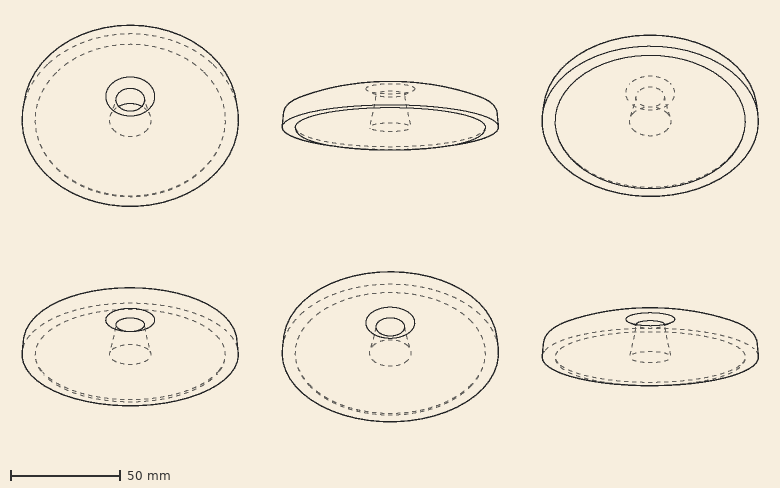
import cadquery as cq
import math

outer_radius = 49.5
total_height = 19.9

lip_radius = 43.5
lip_height = 2.0

wall_top_radius = 48.9
wall_top_height = 8.3
dome_edge_radius = 46.5
dome_edge_height = 11.6

crown_edge_radius = 21.9
crown_edge_height = 18.7
dome_bulge = 0.8

mouth_radius = 11.2
mouth_depth = 2.5
neck_radius = 6.5
flare_edge_radius = 7.5
flare_depth = 6.5
flare_bulge = 0.1
pocket_floor_radius = 9.5
pocket_floor_height = lip_height


def arc_middle(start, end, bulge):
    """Point halfway along an arc that rises by bulge above its chord, going inward."""
    dr = end[0] - start[0]
    dz = end[1] - start[1]
    chord = math.hypot(dr, dz)
    middle_r = (start[0] + end[0]) / 2 + bulge * dz / chord
    middle_z = (start[1] + end[1]) / 2 - bulge * dr / chord
    return (middle_r, middle_z)


def make_cap():
    """Solid cap, revolved about Z from half of its cross-section."""
    wall_foot = (outer_radius, lip_height)
    wall_top = (wall_top_radius, wall_top_height)
    dome_edge = (dome_edge_radius, dome_edge_height)
    crown_edge = (crown_edge_radius, crown_edge_height)
    profile = (
        cq.Workplane("XZ")
        .lineTo(lip_radius - lip_height, 0)
        .radiusArc((lip_radius, lip_height), -lip_height)
        .lineTo(*wall_foot)
        .lineTo(*wall_top)
        .tangentArcPoint(dome_edge, relative=False)
        .threePointArc(arc_middle(dome_edge, crown_edge, dome_bulge), crown_edge)
        .tangentArcPoint((mouth_radius, total_height), relative=False)
        .lineTo(0, total_height)
        .close()
    )
    return profile.revolve(360, (0, 0, 0), (0, 1, 0))


def make_recess():
    """Cutter for the conical mouth and the flared pocket below it."""
    neck_height = total_height - mouth_depth
    neck = (neck_radius, neck_height)
    flare_edge = (flare_edge_radius, neck_height - flare_depth)
    profile = (
        cq.Workplane("XZ")
        .moveTo(0, total_height)
        .lineTo(mouth_radius, total_height)
        .lineTo(*neck)
        .threePointArc(arc_middle(flare_edge, neck, -flare_bulge), flare_edge)
        .lineTo(pocket_floor_radius, pocket_floor_height)
        .lineTo(0, pocket_floor_height)
        .close()
    )
    return profile.revolve(360, (0, 0, 0), (0, 1, 0))


result = make_cap().cut(make_recess())